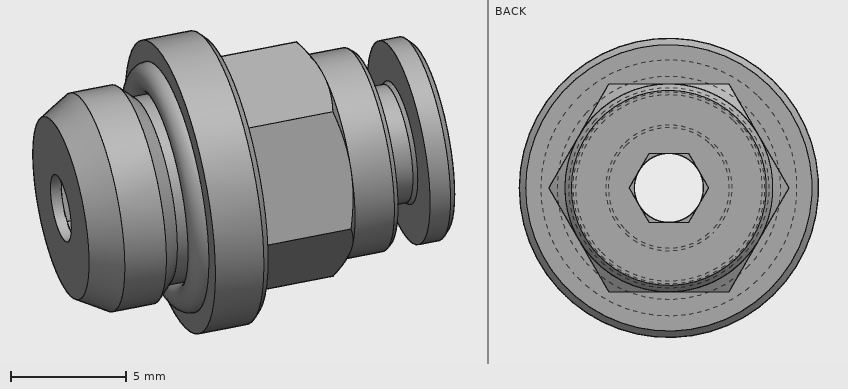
import cadquery as cq
import math

length = 16.6
tip_chamfer_end = 1.38
thread_end = 3.27
groove_start = 3.98
flange_front = 4.98
flange_back = 7.47
hex_end = 11.97
body_end = 13.98
neck_start = 14.2
neck_end = 15.2
collar_front = 15.39

tip_radius = 4.05
thread_radius = 4.85
groove_radius = 4.17
flange_radius = 6.499
body_radius = 4.52
neck_radius = 2.62
neck_flare_radius = 2.74
seal_section_radius = 0.7
hole_radius = 1.5

flange_chamfer = 0.28
body_chamfer_length = 0.22
body_chamfer_depth = 0.17
collar_chamfer = 0.28
hex_chamfer_angle = math.radians(30)
hole_depth = 0.5

corner_ratio = 1 / math.cos(math.pi / 6)
hex_corner_radius = body_radius * corner_ratio
hex_chamfer_length = (hex_corner_radius - body_radius) * math.tan(hex_chamfer_angle)


def revolve_profile(points):
    """Revolve (radius, station) points about the Y axis."""
    profile = cq.Workplane("XY").polyline(points).close()
    return profile.revolve(360, (0, 0, 0), (0, 1, 0))


def hex_prism(flat_radius, start, end):
    """Hexagonal prism along Y between two stations."""
    plane = cq.Workplane("XZ", origin=(0, start, 0))
    return plane.polygon(6, 2 * flat_radius * corner_ratio).extrude(start - end)


def turned_body():
    return revolve_profile([
        (0, 0),
        (tip_radius, 0),
        (thread_radius, tip_chamfer_end),
        (thread_radius, thread_end),
        (groove_radius, groove_start),
        (groove_radius, flange_front),
        (flange_radius, flange_front),
        (flange_radius, flange_back - flange_chamfer),
        (flange_radius - flange_chamfer, flange_back),
        (body_radius, flange_back),
        (body_radius, body_end - body_chamfer_length),
        (body_radius - body_chamfer_depth, body_end),
        (neck_radius, neck_start),
        (neck_radius, neck_end),
        (neck_flare_radius, collar_front),
        (body_radius, collar_front),
        (body_radius, length - collar_chamfer),
        (body_radius - collar_chamfer, length),
        (0, length),
    ])


def seal_ring():
    """Half-round seal bead seated against the flange and the groove."""
    inner = groove_radius
    middle = inner + seal_section_radius
    outer = middle + seal_section_radius
    profile = (
        cq.Workplane("XY")
        .moveTo(inner, flange_front)
        .threePointArc((middle, flange_front - seal_section_radius), (outer, flange_front))
        .close()
    )
    return profile.revolve(360, (0, 0, 0), (0, 1, 0))


def wrench_hex():
    """Hexagon whose back corners are trimmed by a cone."""
    cone_start = hex_end - hex_chamfer_length
    envelope = revolve_profile([
        (0, flange_back),
        (hex_corner_radius, flange_back),
        (hex_corner_radius, cone_start),
        (body_radius, hex_end),
        (0, hex_end),
    ])
    return hex_prism(body_radius, flange_back, hex_end).intersect(envelope)


def through_passage():
    """Short round mouth at the tip, then a hexagonal passage to the back."""
    mouth = cq.Workplane("XZ").circle(hole_radius).extrude(-hole_depth)
    return mouth.union(hex_prism(hole_radius, hole_depth, length))


fitting = turned_body().union(seal_ring()).union(wrench_hex()).cut(through_passage())
result = fitting.translate((0, -length / 2, 0))